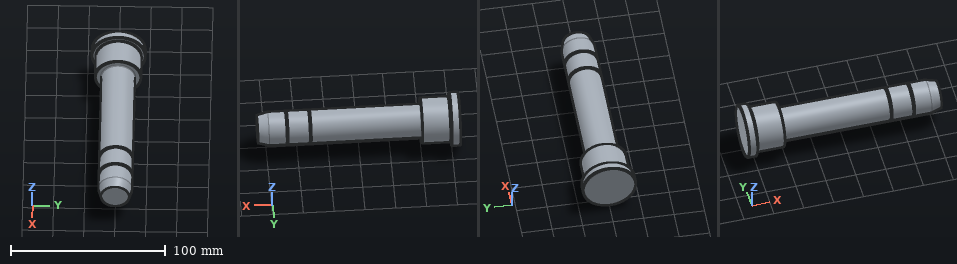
import cadquery as cq
import math

total_length = 131.0

head_diameter = 35.0
head_thickness = 6.0
head_chamfer = 0.5

shoulder_diameter = 30.0
shoulder_end = 25.0
shoulder_chamfer = 0.5

undercut_width = 0.8
undercut_depth = 0.5

shaft_diameter = 22.0
root_fillet = 0.4
nose_length = 7.0
nose_angle = 15.0

groove_width = 1.2
groove_depth = 0.5
groove_pitch = 15.0
groove_count = 2
first_groove_center = 97.1

head_radius = head_diameter / 2
shoulder_radius = shoulder_diameter / 2
shaft_radius = shaft_diameter / 2
undercut_radius = shoulder_radius - undercut_depth
undercut_end = head_thickness + undercut_width
groove_radius = (groove_width**2 / 4 + groove_depth**2) / (2 * groove_depth)
nose_start = total_length - nose_length
nose_tip_radius = shaft_radius - nose_length * math.tan(math.radians(nose_angle))


def revolve_about_axis(profile):
    """Turn a closed profile, drawn as X against radius, about the pin axis."""
    return profile.close().revolve(360, (0, 0, 0), (1, 0, 0))


def make_head():
    profile = (
        cq.Workplane("XY")
        .lineTo(0, head_radius)
        .lineTo(head_thickness, head_radius)
        .lineTo(head_thickness, 0)
    )
    return revolve_about_axis(profile).edges().chamfer(head_chamfer)


def make_shoulder_and_shaft():
    """Undercut, shoulder, shaft and nose, starting at the front of the head."""
    root_end = shoulder_end + root_fillet
    profile = (
        cq.Workplane("XY")
        .moveTo(head_thickness, 0)
        .lineTo(head_thickness, undercut_radius)
        .lineTo(undercut_end, undercut_radius)
        .lineTo(undercut_end, shoulder_radius)
        .lineTo(shoulder_end - shoulder_chamfer, shoulder_radius)
        .lineTo(shoulder_end, shoulder_radius - shoulder_chamfer)
        .lineTo(shoulder_end, shaft_radius + root_fillet)
        .radiusArc((root_end, shaft_radius), -root_fillet)
        .lineTo(nose_start, shaft_radius)
        .lineTo(total_length, nose_tip_radius)
        .lineTo(total_length, 0)
    )
    return revolve_about_axis(profile)


def make_groove_cutter(center):
    """Ring of circular section that cuts to the groove depth and width."""
    section_radius = shaft_radius - groove_depth + groove_radius
    profile = cq.Workplane("XY").moveTo(center, section_radius).circle(groove_radius)
    return profile.revolve(360, (0, 0, 0), (1, 0, 0))


result = make_head().union(make_shoulder_and_shaft())
for index in range(groove_count):
    result = result.cut(make_groove_cutter(first_groove_center + index * groove_pitch))